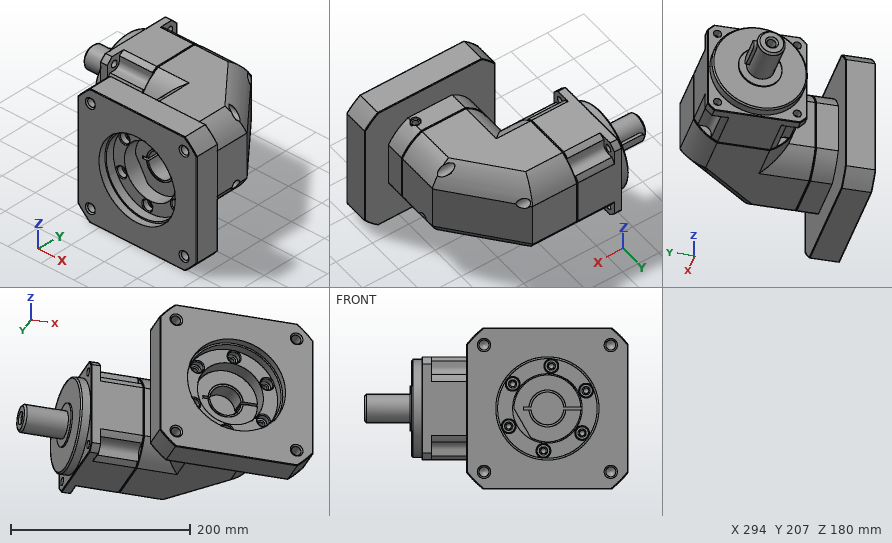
import cadquery as cq
import math


total_length = 294.0
total_depth = 207.0
plate_size = 180.0
housing_size = 115.0
housing_half = housing_size / 2
housing_corner_diameter = 130.0
edge_chamfer = 1.0
drill_point_angle = 118

shaft_tip_x = plate_size / 2 - total_length
pilot_face_x = -151.5
flange_face_x = -140.0
flange_back_x = -129.0
elbow_output_x = -78.2

input_face_y = housing_half - total_depth
elbow_input_y = -88.8
plate_thickness = 35.0
plate_back_y = input_face_y + plate_thickness

pilot_diameter = 110.0
pilot_chamfer = 1.8
flange_corner_diameter = 151.7
flange_hole_diameter = 9.0
flange_hole_circle = 130.0
bolt_notch_start = 37.5
bolt_notch_fillet = 8.5

shaft_diameter = 32.0
shaft_chamfer = 2.4
journal_diameter = 50.0
journal_step = 1.8
center_hole_diameter = 10.5
center_hole_sink = 15.0
center_hole_depth = 23.5

key_start_x = -198.7
key_length = 40.0
key_width = 10.5
key_height = 8.0
key_top_y = 19.0

bevel_start = (-16.5, housing_half)
bevel_end = (housing_half, -30.5)
bevel_flat_half = 29.7
bevel_edge_drop = 25.3
bevel_corner_radius = 67.3
elbow_bolt_count = 4
elbow_bolt_circle = 115.2
elbow_bolt_first_angle = 32.4
elbow_bolt_diameter = 12.0

clamp_bore_diameter = 77.5
access_hole_x = 26.8
access_hole_y = -105.3
access_hole_diameter = 8.2
access_sink_diameter = 12.3
access_sink_depth = 3.0
plate_corner_diameter = 230.0
motor_pilot_diameter = 115.2
motor_pilot_depth = 9.7
motor_bore_diameter = 111.0
motor_bore_depth = 21.5
motor_hole_spacing = 141.5
motor_hole_sink = 14.7
motor_hole_diameter = 11.2
motor_hole_depth = 23.5
bolt_count = 6
bolt_circle = 95.0
bolt_first_angle = 24.7
bolt_bore_diameter = 14.0
bolt_bore_sink = 16.5
bolt_bore_depth = 8.5
bolt_hole_sink = 9.0
bolt_hole_diameter = 6.2
bolt_hole_depth = 11.8

hub_diameter = 74.7
hub_face_depth = 38.0
hub_bore_diameter = 36.5
hub_bore_lead_diameter = 41.2
hub_bore_lead_depth = 1.0
hub_flat_distance = 32.3
hub_flat_angle = 210
slit_width = 3.0
slit_inner_end = 26.8
clamp_screw_diameter = 5.3
clamp_screw_sink = 6.0
clamp_screw_depth = 50.0


def across_x(x):
    """Plane square to the output axis: local x is +Y, local y is +Z, normal +X."""
    return cq.Workplane("YZ", origin=(x, 0, 0))


def across_y(y):
    """Plane square to the input axis: local x is +X, local y is +Z, normal -Y."""
    return cq.Workplane("XZ", origin=(0, y, 0))


def rounded_square(plane, size, corner_diameter, length):
    """Square bar whose corners are turned to a circle about its own axis."""
    bar = plane.rect(size, size).extrude(length)
    return bar.intersect(plane.circle(corner_diameter / 2).extrude(length))


def sunk_cylinder(diameter, depth, sink_diameter):
    """Flat-bottomed hole cutter along +X from the origin with a 45 degree countersink."""
    sink_depth = (sink_diameter - diameter) / 2
    cutter = cq.Workplane("YZ").circle(diameter / 2).extrude(depth)
    sink = cq.Workplane("YZ").circle(sink_diameter / 2).extrude(sink_depth, taper=45)
    return cutter.union(sink)


def drilled_hole(diameter, depth, sink_diameter):
    """Hole cutter along +X from the origin: 45 degree countersink, bore and drill point."""
    radius = diameter / 2
    sink_radius = sink_diameter / 2
    point_length = radius / math.tan(math.radians(drill_point_angle / 2))
    outline = [
        (0, 0),
        (0, sink_radius),
        (sink_radius - radius, radius),
        (depth, radius),
        (depth + point_length, 0),
    ]
    return cq.Workplane("XY").polyline(outline).close().revolve(360, (0, 0, 0), (1, 0, 0))


def along_y(cutter):
    """Turn a cutter made along +X so that it runs along +Y."""
    return cutter.rotate((0, 0, 0), (0, 0, 1), 90)


def make_gear_housing():
    body = rounded_square(
        across_x(flange_back_x), housing_size, housing_corner_diameter, elbow_output_x - flange_back_x
    )
    body = body.faces(">X").chamfer(edge_chamfer)

    notch_size = housing_size
    notch_center = bolt_notch_start + notch_size / 2
    notches = (
        across_x(flange_back_x)
        .rect(2 * notch_center, 2 * notch_center, forConstruction=True)
        .vertices()
        .rect(notch_size, notch_size)
        .extrude(elbow_output_x - flange_back_x)
        .edges("|X")
        .fillet(bolt_notch_fillet)
    )
    body = body.cut(notches)

    flange = rounded_square(
        across_x(flange_face_x), housing_size, flange_corner_diameter, flange_back_x - flange_face_x
    )
    pilot = across_x(pilot_face_x).circle(pilot_diameter / 2).extrude(flange_face_x - pilot_face_x)
    pilot = pilot.faces("<X").chamfer(pilot_chamfer)
    flange = flange.faces("<X").chamfer(edge_chamfer)
    body = body.union(flange).union(pilot)

    hole_spacing = flange_hole_circle / math.sqrt(2)
    holes = (
        across_x(flange_face_x)
        .rect(hole_spacing, hole_spacing, forConstruction=True)
        .vertices()
        .circle(flange_hole_diameter / 2)
        .extrude(flange_back_x - flange_face_x)
    )
    journal_socket = across_x(pilot_face_x).circle(journal_diameter / 2).extrude(flange_back_x - pilot_face_x)
    return body.cut(holes).cut(journal_socket)


def make_key():
    return (
        cq.Workplane("XZ", origin=(key_start_x + key_length / 2, key_top_y, 0))
        .slot2D(key_length, key_width)
        .extrude(key_height)
    )


def make_shaft(key):
    journal_start_x = pilot_face_x - journal_step
    shaft = across_x(shaft_tip_x).circle(shaft_diameter / 2).extrude(journal_start_x - shaft_tip_x)
    shaft = shaft.faces("<X").chamfer(shaft_chamfer)
    journal = across_x(journal_start_x).circle(journal_diameter / 2).extrude(flange_back_x - journal_start_x)
    shaft = shaft.union(journal)
    hole = drilled_hole(center_hole_diameter, center_hole_depth, center_hole_sink)
    return shaft.cut(hole.translate((shaft_tip_x, 0, 0))).cut(key)


def make_elbow():
    output_leg = rounded_square(
        across_x(elbow_output_x), housing_size, housing_corner_diameter, housing_half - elbow_output_x
    )
    output_leg = output_leg.faces("<X").chamfer(edge_chamfer)
    input_leg = rounded_square(
        across_y(housing_half), housing_size, housing_corner_diameter, housing_half - elbow_input_y
    )
    input_leg = input_leg.faces("<Y").chamfer(edge_chamfer)

    inner_corner = (-housing_half, -housing_half)
    outer_corner = (housing_half, housing_half)

    def miter_half(far_a, far_b):
        plan = cq.Workplane("XY").polyline([inner_corner, outer_corner, far_a, far_b]).close()
        return plan.extrude(housing_half, both=True)

    output_leg = output_leg.intersect(
        miter_half((elbow_output_x, housing_half), (elbow_output_x, -housing_half))
    )
    input_leg = input_leg.intersect(
        miter_half((housing_half, elbow_input_y), (-housing_half, elbow_input_y))
    )
    elbow = output_leg.union(input_leg).intersect(make_bevel_envelope())

    bolt_holes = (
        across_x(elbow_output_x)
        .polarArray(elbow_bolt_circle / 2, elbow_bolt_first_angle, 360, elbow_bolt_count)
        .circle(elbow_bolt_diameter / 2)
        .extrude(housing_half - elbow_output_x)
    )
    return elbow.cut(bolt_holes)


def make_bevel_envelope():
    """Bar along the outer bevel that keeps what lies inside its rounded face."""
    run_x = bevel_end[0] - bevel_start[0]
    run_y = bevel_end[1] - bevel_start[1]
    plane = cq.Plane(
        origin=(*bevel_start, 0),
        xDir=(-run_y, run_x, 0),
        normal=(run_x, run_y, 0),
    )
    inward = -total_length
    return (
        cq.Workplane(plane)
        .moveTo(inward, -housing_half)
        .lineTo(-bevel_edge_drop, -housing_half)
        .radiusArc((0, -bevel_flat_half), -bevel_corner_radius)
        .lineTo(0, bevel_flat_half)
        .radiusArc((-bevel_edge_drop, housing_half), -bevel_corner_radius)
        .lineTo(inward, housing_half)
        .close()
        .extrude(total_length, both=True)
    )


def make_input_housing():
    neck = rounded_square(
        across_y(elbow_input_y), housing_size, housing_corner_diameter, elbow_input_y - plate_back_y
    )
    neck = neck.faces(">Y").chamfer(edge_chamfer)
    plate = rounded_square(across_y(plate_back_y), plate_size, plate_corner_diameter, plate_thickness)
    plate = plate.faces("<Y or >Y").chamfer(edge_chamfer)
    body = neck.union(plate)

    front = across_y(input_face_y)
    pilot = front.circle(motor_pilot_diameter / 2).extrude(-motor_pilot_depth)
    bore = front.circle(motor_bore_diameter / 2).extrude(-motor_bore_depth)
    clamp_bore = front.circle(clamp_bore_diameter / 2).extrude(input_face_y - elbow_input_y)
    body = body.cut(pilot).cut(bore).cut(clamp_bore)

    motor_hole = drilled_hole(motor_hole_diameter, motor_hole_depth, motor_hole_sink)
    for side_x in (-1, 1):
        for side_z in (-1, 1):
            place = (side_x * motor_hole_spacing / 2, input_face_y, side_z * motor_hole_spacing / 2)
            body = body.cut(along_y(motor_hole).translate(place))

    shelf_y = input_face_y + motor_bore_depth
    bolt_hole = drilled_hole(bolt_hole_diameter, bolt_hole_depth, bolt_hole_sink)
    bolt_bore = sunk_cylinder(bolt_bore_diameter, bolt_bore_depth, bolt_bore_sink)
    bolt_relief = across_x(motor_pilot_depth - motor_bore_depth).circle(bolt_bore_sink / 2)
    bolt_relief = bolt_relief.extrude(motor_bore_depth - motor_pilot_depth)
    bolt_hole = bolt_hole.translate((bolt_bore_depth, 0, 0))
    bolt_cutter = along_y(bolt_bore.union(bolt_hole).union(bolt_relief))
    for index in range(bolt_count):
        angle = math.radians(bolt_first_angle + index * 360 / bolt_count)
        x = bolt_circle / 2 * math.cos(angle)
        z = bolt_circle / 2 * math.sin(angle)
        body = body.cut(bolt_cutter.translate((x, shelf_y, z)))

    hole_top = cq.Workplane("XY", origin=(access_hole_x, access_hole_y, housing_half))
    access_hole = hole_top.circle(access_hole_diameter / 2).extrude(-housing_half)
    access_sink = hole_top.circle(access_sink_diameter / 2).extrude(-access_sink_depth)
    return body.cut(access_hole).cut(access_sink)


def make_hub():
    face_y = input_face_y + hub_face_depth
    length = elbow_input_y - face_y
    hub = across_y(elbow_input_y).circle(hub_diameter / 2).extrude(length)
    bore = across_y(elbow_input_y).circle(hub_bore_diameter / 2).extrude(length)
    hub = hub.cut(bore)
    lead = across_y(face_y + hub_bore_lead_depth).circle(hub_bore_lead_diameter / 2).extrude(length)
    hub = hub.cut(lead)
    slit_length = slit_inner_end + hub_diameter / 2
    slit = (
        across_y(elbow_input_y)
        .center(slit_length / 2 - slit_inner_end, 0)
        .rect(slit_length, slit_width)
        .extrude(length)
    )
    flat = (
        across_y(elbow_input_y)
        .transformed(rotate=(0, 0, hub_flat_angle))
        .center(hub_flat_distance + hub_diameter / 2, 0)
        .rect(hub_diameter, hub_diameter)
        .extrude(length)
    )

    screw_top_z = hub_diameter / 2
    screw_hole = drilled_hole(clamp_screw_diameter, clamp_screw_depth, clamp_screw_sink)
    screw_hole = screw_hole.rotate((0, 0, 0), (0, 1, 0), 90)
    screw_hole = screw_hole.translate((access_hole_x, access_hole_y, screw_top_z))
    return hub.cut(slit).cut(flat).cut(screw_hole)


key = make_key()
shaft = make_shaft(key)
gear_housing = make_gear_housing()
elbow = make_elbow()
input_housing = make_input_housing()
hub = make_hub()

result = cq.Compound.makeCompound(
    [gear_housing.val(), shaft.val(), key.val(), elbow.val(), input_housing.val(), hub.val()]
)